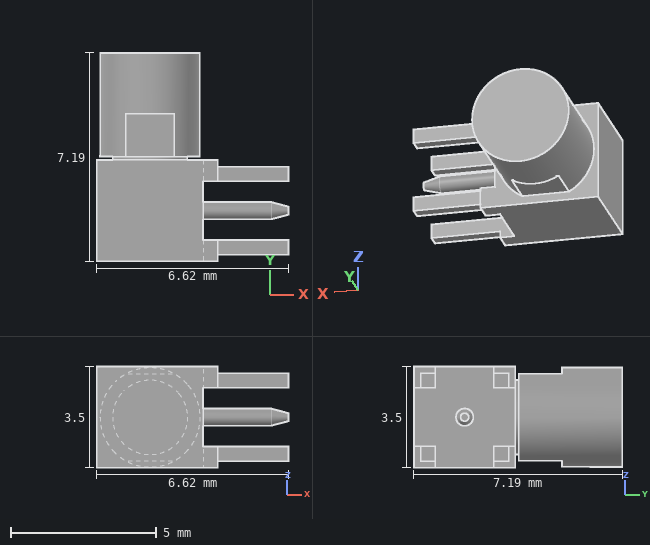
import cadquery as cq

body_size = 3.5
body_length = 3.67
foot_height = 0.51
foot_size = 0.74

leg_size = 0.51
overall_length = 6.62
foot_face_x = body_length + foot_height
leg_length = overall_length - foot_face_x
foot_center = body_size / 2 - foot_size / 2
leg_center = body_size / 2 - foot_size + leg_size / 2

pin_diameter = 0.6
pin_tip_diameter = 0.28
pin_taper_length = 0.6

overall_depth = 7.19
neck_diameter = 2.58
neck_length = 0.11
barrel_diameter = 3.44
barrel_length = overall_depth - body_size - neck_length
flat_spacing = 3.01
flat_length = 1.49
barrel_center_x = body_length / 2


def make_housing():
    """Plain block with its back face at X = 0, centred in Y and Z."""
    block = cq.Workplane("XY").box(body_length, body_size, body_size)
    return block.translate((body_length / 2, 0, 0))


def make_corner_posts(start_x, offset, size, length):
    """Four square posts along +X, centred at +/-offset in Y and Z."""
    corners = [(y, z) for y in (-offset, offset) for z in (-offset, offset)]
    return (
        cq.Workplane("YZ", origin=(start_x, 0, 0))
        .pushPoints(corners)
        .rect(size, size)
        .extrude(length)
    )


def make_pin():
    """Round pin along X with a conical tip, revolved from its half profile."""
    taper_start_x = overall_length - pin_taper_length
    return (
        cq.Workplane("XY")
        .moveTo(body_length, 0)
        .lineTo(body_length, pin_diameter / 2)
        .lineTo(taper_start_x, pin_diameter / 2)
        .lineTo(overall_length, pin_tip_diameter / 2)
        .lineTo(overall_length, 0)
        .close()
        .revolve(360, (0, 0, 0), (1, 0, 0))
    )


def make_cylinder_along_y(start_y, diameter, length):
    return cq.Workplane("XZ", origin=(barrel_center_x, start_y, 0)).circle(diameter / 2).extrude(-length)


def make_barrel():
    """Neck and barrel, with wrench flats above and below at the neck end."""
    neck_start_y = body_size / 2
    barrel_start_y = neck_start_y + neck_length
    barrel = make_cylinder_along_y(barrel_start_y, barrel_diameter, barrel_length)
    flat_depth = (barrel_diameter - flat_spacing) / 2
    flat_cutter = cq.Workplane("XY").box(barrel_diameter, flat_length, flat_depth)
    cutter_y = barrel_start_y + flat_length / 2
    for side in (-1, 1):
        cutter_z = side * (flat_spacing + flat_depth) / 2
        barrel = barrel.cut(flat_cutter.translate((barrel_center_x, cutter_y, cutter_z)))
    return barrel.union(make_cylinder_along_y(neck_start_y, neck_diameter, neck_length))


feet = make_corner_posts(body_length, foot_center, foot_size, foot_height)
legs = make_corner_posts(foot_face_x, leg_center, leg_size, leg_length)

result = make_housing().union(feet).union(legs).union(make_pin()).union(make_barrel())